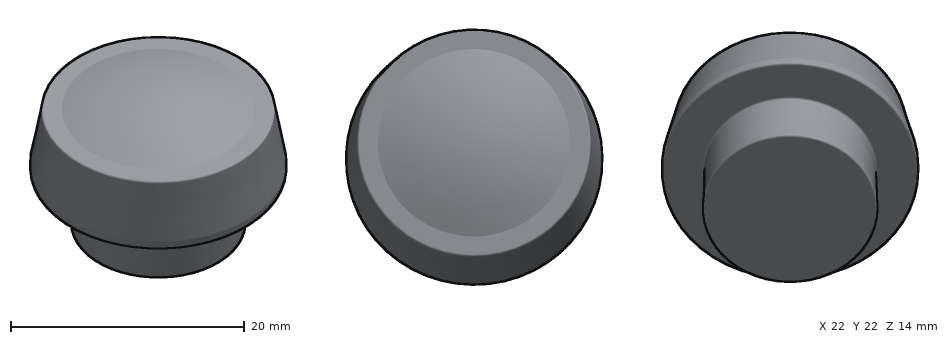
import math

import cadquery as cq

stem_height = 6.0
head_height = 6.6
dome_height = 1.4
band_height = 0.8

stem_bottom_radius = 7.5
stem_top_radius = 7.37
head_radius = 11.0
head_top_radius = 10.0
dome_radius = 8.25

edge_fillet = 0.2

head_top = stem_height + head_height
dome_sphere_radius = (dome_radius**2 + dome_height**2) / (2 * dome_height)


def revolve_profile(profile):
    """Turn a closed (radius, height) profile about the Z axis."""
    return profile.close().revolve(360, (0, 0, 0), (0, 1, 0))


def make_stem():
    """Slightly tapered round stem with a rounded bottom edge."""
    profile = (
        cq.Workplane("XZ")
        .lineTo(stem_bottom_radius, 0)
        .lineTo(stem_top_radius, stem_height)
        .lineTo(0, stem_height)
    )
    return revolve_profile(profile).faces("<Z").edges().fillet(edge_fillet)


def make_head():
    """Head with a short straight band, a conical side and rounded rims."""
    profile = (
        cq.Workplane("XZ", origin=(0, 0, stem_height))
        .lineTo(head_radius, 0)
        .lineTo(head_radius, band_height)
        .lineTo(head_top_radius, head_height)
        .lineTo(0, head_height)
    )
    return revolve_profile(profile).faces("<Z or >Z").edges().fillet(edge_fillet)


def make_dome():
    """Shallow spherical cap on top of the head."""
    half_angle = math.asin(dome_radius / dome_sphere_radius) / 2
    arc_middle = (
        dome_sphere_radius * math.sin(half_angle),
        dome_height - dome_sphere_radius * (1 - math.cos(half_angle)),
    )
    profile = (
        cq.Workplane("XZ", origin=(0, 0, head_top))
        .lineTo(dome_radius, 0)
        .threePointArc(arc_middle, (0, dome_height))
    )
    return revolve_profile(profile)


def round_inner_corner(body):
    """Fillet the corner where the stem meets the underside of the head."""
    reach = (stem_bottom_radius + head_radius) / 2
    corner_zone = cq.selectors.BoxSelector(
        (-reach, -reach, stem_height - edge_fillet),
        (reach, reach, stem_height + edge_fillet),
        boundingbox=True,
    )
    return body.edges("%CIRCLE").edges(corner_zone).fillet(edge_fillet)


body = make_stem().union(make_head()).union(make_dome())
result = round_inner_corner(body)